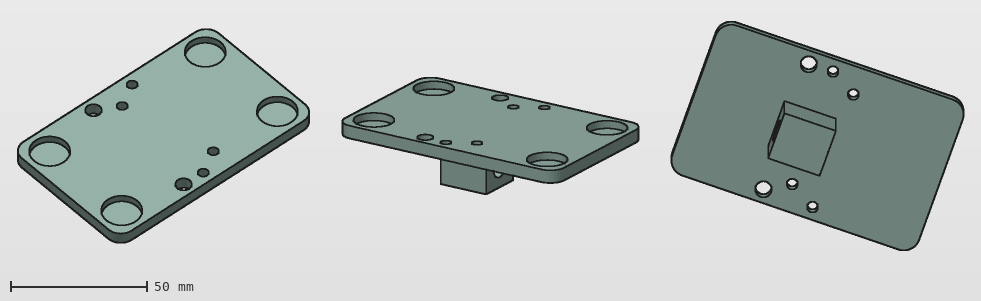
import cadquery as cq

PLATE_WIDTH = 60.0
PLATE_LENGTH = 96.0
PLATE_THICKNESS = 5.0
CORNER_RADIUS = 6.0
TOTAL_HEIGHT = 24.0

LUG_WIDTH = 18.0
LUG_LENGTH = 20.0
LUG_CENTRE_Y = -6.0
LUG_HEIGHT = TOTAL_HEIGHT - PLATE_THICKNESS
PIN_HOLE_DIAMETER = 8.0
PIN_HOLE_HEIGHT = 8.0

POCKET_DIAMETER = 15.0
POCKET_DEPTH = 3.0
POCKET_EDGE_DISTANCE = 10.0

SMALL_HOLE_DIAMETER = 4.0
SMALL_HOLE_SPACING = 45.0
SMALL_PAIR_SHIFT = 2.85
REAR_PAIR_Y = 7.0
FRONT_PAIR_Y = -2.9

LARGE_HOLE_DIAMETER = 6.0
LARGE_HOLE_SPACING = 50.0
LARGE_PAIR_Y = -12.2


def make_plate():
    """Flat plate with rounded vertical corners."""
    return (
        cq.Workplane("XY", origin=(0, 0, LUG_HEIGHT))
        .rect(PLATE_WIDTH, PLATE_LENGTH)
        .extrude(PLATE_THICKNESS)
        .edges("|Z")
        .fillet(CORNER_RADIUS)
    )


def make_lug():
    """Rectangular block below the plate, bored through along Y."""
    block = (
        cq.Workplane("XY", origin=(0, LUG_CENTRE_Y, 0))
        .rect(LUG_WIDTH, LUG_LENGTH)
        .extrude(LUG_HEIGHT)
    )
    pin = (
        cq.Workplane("XZ", origin=(0, LUG_CENTRE_Y, PIN_HOLE_HEIGHT))
        .circle(PIN_HOLE_DIAMETER / 2)
        .extrude(LUG_LENGTH, both=True)
    )
    return block.cut(pin)


def make_pockets():
    """Cutters for the four corner pockets."""
    return (
        cq.Workplane("XY", origin=(0, 0, TOTAL_HEIGHT - POCKET_DEPTH))
        .rect(
            PLATE_WIDTH - 2 * POCKET_EDGE_DISTANCE,
            PLATE_LENGTH - 2 * POCKET_EDGE_DISTANCE,
            forConstruction=True,
        )
        .vertices()
        .circle(POCKET_DIAMETER / 2)
        .extrude(POCKET_DEPTH)
    )


def make_hole_pair(diameter, spacing, centre_x, centre_y):
    """Cutters for two plate holes side by side along X."""
    return (
        cq.Workplane("XY", origin=(centre_x, centre_y, LUG_HEIGHT))
        .pushPoints([(-spacing / 2, 0), (spacing / 2, 0)])
        .circle(diameter / 2)
        .extrude(PLATE_THICKNESS)
    )


hole_pairs = [
    (SMALL_HOLE_DIAMETER, SMALL_HOLE_SPACING, -SMALL_PAIR_SHIFT, REAR_PAIR_Y),
    (SMALL_HOLE_DIAMETER, SMALL_HOLE_SPACING, SMALL_PAIR_SHIFT, FRONT_PAIR_Y),
    (LARGE_HOLE_DIAMETER, LARGE_HOLE_SPACING, 0, LARGE_PAIR_Y),
]

result = make_plate().union(make_lug()).cut(make_pockets())
for diameter, spacing, centre_x, centre_y in hole_pairs:
    result = result.cut(make_hole_pair(diameter, spacing, centre_x, centre_y))